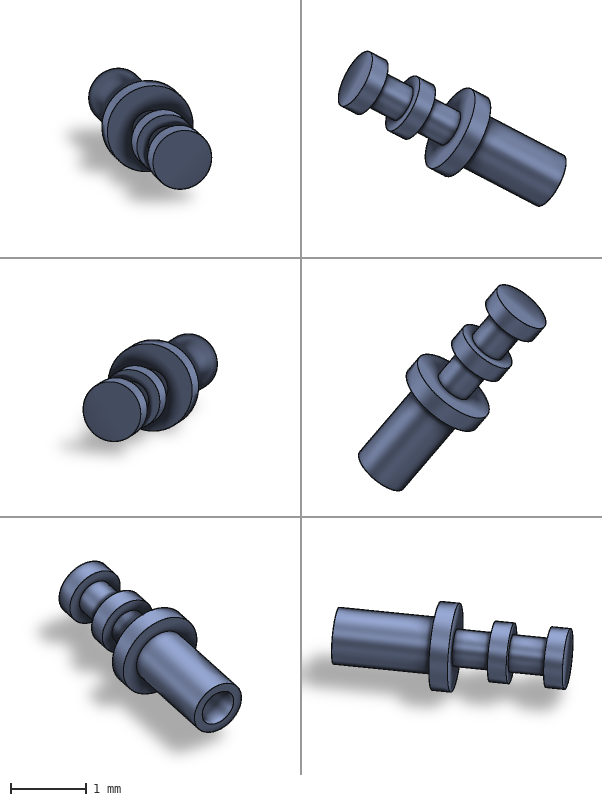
import cadquery as cq
import math

total_length = 3.12
disc_thickness = 0.253
neck_length = 0.505
barrel_length = total_length - 3 * disc_thickness - 2 * neck_length

barrel_diameter = 0.76
flange_diameter = 1.19
neck_diameter = 0.502
collar_diameter = 0.815

hole_diameter = 0.51
hole_depth = barrel_length
drill_point_angle = 118.0


def turned_body():
    """Stack the coaxial cylinders from the barrel end towards +X."""
    sections = [
        (barrel_diameter, barrel_length),
        (flange_diameter, disc_thickness),
        (neck_diameter, neck_length),
        (collar_diameter, disc_thickness),
        (neck_diameter, neck_length),
        (collar_diameter, disc_thickness),
    ]
    body = cq.Workplane("YZ")
    start = 0.0
    for diameter, length in sections:
        section = cq.Workplane("YZ", origin=(start, 0, 0)).circle(diameter / 2).extrude(length)
        body = body.add(section) if start == 0.0 else body.union(section)
        start += length
    return body


def drilled_hole():
    """Revolve the hole profile, ending in a conical drill point."""
    radius = hole_diameter / 2
    point_length = radius / math.tan(math.radians(drill_point_angle / 2))
    return (
        cq.Workplane("XY")
        .moveTo(0, 0)
        .lineTo(0, radius)
        .lineTo(hole_depth, radius)
        .lineTo(hole_depth + point_length, 0)
        .close()
        .revolve(360, (0, 0, 0), (1, 0, 0))
    )


result = turned_body().cut(drilled_hole())